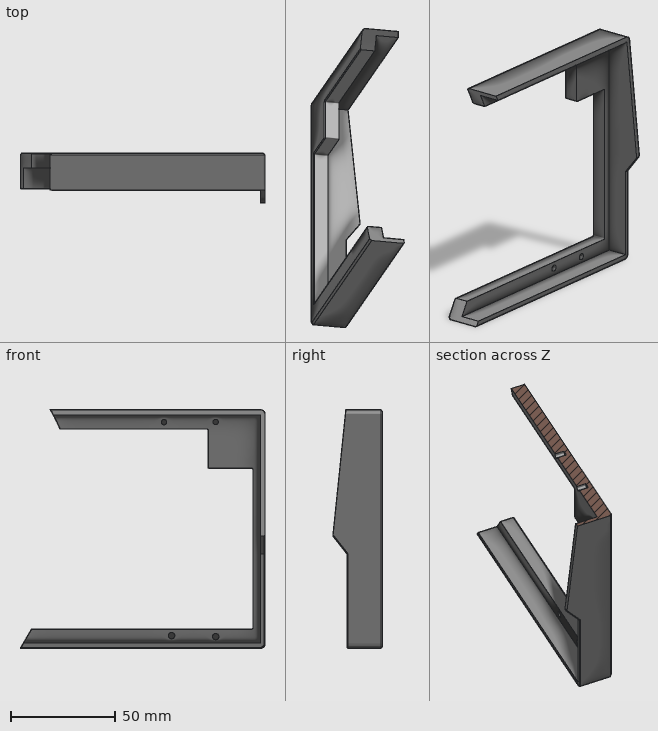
import cadquery as cq
import math

length = 117.2
height = 114.3
depth = 23.9

rim_depth = 17.1
rim_depth_at_top = 17.7
rim_thickness = 2.6
wall_thickness = 2.2
bulge_start_height = 45.1
bulge_peak_height = 53.8

plate_depth = 7.1
arm_height = 9.3
plate_wall_width = 5.9
block_width = 27.3
block_height = 28.1

lower_end_angle = 30.0
upper_tip_x = 14.3
upper_end_run = 4.7
upper_end_hollow = 0.18

corner_radius = 2.2
outer_back_chamfer = 0.9
inner_back_chamfer = 0.5
front_chamfer = 0.5
inner_corner_radius = 0.6

upper_hole_diameter = 2.6
lower_hole_diameter = 3.0
hole_depth = 4.7
upper_hole_centres = [(68.8, 108.3), (93.5, 108.4)]
lower_hole_centres = [(72.4, 6.1), (93.5, 5.6)]

upper_arm_bottom = height - arm_height
block_left = length - block_width
block_bottom = height - block_height
plate_wall_left = length - plate_wall_width
lower_inner_x = arm_height * math.tan(math.radians(lower_end_angle))
upper_inner_x = upper_tip_x + upper_end_run
upper_end_middle = (upper_tip_x + upper_end_run / 2 + upper_end_hollow, height - arm_height / 2)


def slab(thickness):
    """Rectangle with rounded right-hand corners, reaching forward from Y = 0."""
    return (
        cq.Workplane("XZ")
        .rect(length, height, centered=False)
        .extrude(thickness)
        .edges("|Y and >X")
        .fillet(corner_radius)
    )


def arm_end_trim():
    """Full-depth block whose left side follows the free ends of both arms."""
    return (
        cq.Workplane("XZ")
        .lineTo(length, 0)
        .lineTo(length, height)
        .lineTo(upper_tip_x, height)
        .threePointArc(upper_end_middle, (upper_inner_x, upper_arm_bottom))
        .lineTo(lower_inner_x, arm_height)
        .close()
        .extrude(depth)
    )


def make_rim():
    """Rim along the outside, with the wall growing forward into a tapered bulge."""
    side = (
        cq.Workplane("YZ")
        .lineTo(-rim_depth, 0)
        .lineTo(-rim_depth, bulge_start_height)
        .lineTo(-depth, bulge_peak_height)
        .lineTo(-rim_depth_at_top, height)
        .lineTo(0, height)
        .close()
        .extrude(length)
    )
    shaped = slab(depth).intersect(side)
    lower_front = cq.selectors.BoxSelector(
        (length / 3, -depth, -1.2), (length + 1.2, 1.2 - rim_depth, bulge_peak_height)
    )
    beveled = shaped.faces("<Z or >X").edges(lower_front).chamfer(front_chamfer)
    inside = (
        cq.Workplane("XZ")
        .moveTo(0, rim_thickness)
        .lineTo(length - wall_thickness, rim_thickness)
        .lineTo(length - wall_thickness, height - rim_thickness)
        .lineTo(0, height - rim_thickness)
        .close()
        .extrude(depth)
    )
    return beveled.cut(inside).intersect(arm_end_trim())


def make_plate():
    """Back plate: two arms, the wall strip and the square block in the upper corner."""
    opening = (
        cq.Workplane("XZ")
        .moveTo(0, arm_height)
        .lineTo(plate_wall_left, arm_height)
        .lineTo(plate_wall_left, block_bottom)
        .lineTo(block_left, block_bottom)
        .lineTo(block_left, upper_arm_bottom)
        .lineTo(0, upper_arm_bottom)
        .close()
        .extrude(plate_depth)
        .edges("|Y and (not <X)")
        .fillet(inner_corner_radius)
    )
    return slab(plate_depth).cut(opening).intersect(arm_end_trim())


def bevel_back(body):
    """Bevel the long back edges and leave the free ends of the arms sharp."""
    inside = cq.selectors.BoxSelector(
        (length / 3, -1.2, 1.2), (plate_wall_left + 1.2, 1.2, height - 1.2)
    )
    past_ends = cq.selectors.BoxSelector(
        (length / 3, -1.2, -1.2), (length + 1.2, 1.2, height + 1.2)
    )
    body = body.faces(">Y").edges(inside).chamfer(inner_back_chamfer)
    outside = cq.selectors.SubtractSelector(past_ends, inside)
    return body.faces(">Y").edges(outside).chamfer(outer_back_chamfer)


def drill(body, centres, diameter):
    """Blind holes sunk into the front face of the plate."""
    pins = (
        cq.Workplane("XZ", origin=(0, -plate_depth, 0))
        .pushPoints(centres)
        .circle(diameter / 2)
        .extrude(-hole_depth)
    )
    return body.cut(pins)


frame = bevel_back(make_rim().union(make_plate()))
frame = drill(frame, upper_hole_centres, upper_hole_diameter)
result = drill(frame, lower_hole_centres, lower_hole_diameter)